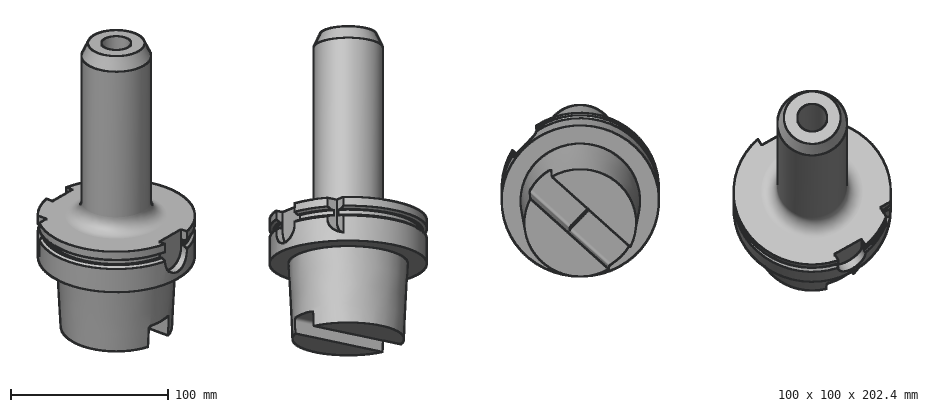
import cadquery as cq
import math

overall_length = 202.4

taper_length = 50.0
taper_top_radius = 38.0
taper_ratio = 9.98
taper_bottom_radius = taper_top_radius - taper_length / taper_ratio / 2

flange_radius = 50.0
flange_height = 29.0
flange_top = taper_length + flange_height
groove_floor_radius = 46.0
groove_rise = 19.9
groove_middle = taper_length + groove_rise
groove_mouth_width = 6.6
groove_floor_width = 3.6
groove_ledge = 1.6

shank_radius = 22.2
shank_root_fillet = 10.0
nose_radius = 18.0
nose_angle = 25.0
nose_height = (shank_radius - nose_radius) / math.tan(math.radians(nose_angle))
bore_radius = 9.5
bore_depth = 50.0

keyway_rise = 5.0
keyway_bottom = taper_length + keyway_rise
keyway_floor = 44.0
left_keyway_width = 20.0
right_keyway_width = 22.0

notch_floor = 31.5
notch_side = 31.5
notch_width = 20.0
notch_center_y = -(notch_side + notch_width / 2)

drive_width = 20.0
left_drive_depth = 10.0
right_drive_depth = 15.0
drive_corner_radius = 2.0


def turned_body():
    """Taper, grooved flange and shank as one revolved profile."""
    root_radius = shank_radius + shank_root_fillet
    root_top = flange_top + shank_root_fillet
    arc_offset = shank_root_fillet * math.sin(math.radians(45))
    root_middle = (root_radius - arc_offset, root_top - arc_offset)
    half_mouth = groove_mouth_width / 2
    half_floor = groove_floor_width / 2
    flank_radius = groove_floor_radius + groove_ledge
    profile = (
        cq.Workplane("XZ")
        .lineTo(taper_bottom_radius, 0)
        .lineTo(taper_top_radius, taper_length)
        .lineTo(flange_radius, taper_length)
        .lineTo(flange_radius, groove_middle - half_mouth)
        .lineTo(flank_radius, groove_middle - half_floor)
        .lineTo(groove_floor_radius, groove_middle - half_floor)
        .lineTo(groove_floor_radius, groove_middle + half_floor)
        .lineTo(flank_radius, groove_middle + half_floor)
        .lineTo(flange_radius, groove_middle + half_mouth)
        .lineTo(flange_radius, flange_top)
        .lineTo(root_radius, flange_top)
        .threePointArc(root_middle, (shank_radius, root_top))
        .lineTo(shank_radius, overall_length - nose_height)
        .lineTo(nose_radius, overall_length)
        .lineTo(0, overall_length)
        .close()
    )
    return profile.revolve(360, (0, 0, 0), (0, 1, 0))


def bore():
    """Blind bore from the nose."""
    return cq.Workplane("XY", origin=(0, 0, overall_length)).circle(bore_radius).extrude(-bore_depth)


def keyway(width, center_y, floor, direction):
    """Round-ended cutter running from its floor outward along +X or -X."""
    radius = width / 2
    arc_center = keyway_bottom + radius
    return (
        cq.Workplane("YZ", origin=(direction * floor, 0, 0))
        .moveTo(center_y - radius, flange_top)
        .lineTo(center_y - radius, arc_center)
        .threePointArc((center_y, keyway_bottom), (center_y + radius, arc_center))
        .lineTo(center_y + radius, flange_top)
        .close()
        .extrude(direction * flange_radius)
    )


def drive_slot(depth, direction):
    """Slot from the axis outward along +X or -X, rounded at its upper corners."""
    return (
        cq.Workplane("XY")
        .box(flange_radius, drive_width, depth, centered=(False, True, False))
        .edges("|X and >Z")
        .fillet(drive_corner_radius)
        .translate((0 if direction > 0 else -flange_radius, 0, 0))
    )


result = (
    turned_body()
    .cut(bore())
    .cut(keyway(left_keyway_width, 0, keyway_floor, -1))
    .cut(keyway(right_keyway_width, 0, keyway_floor, 1))
    .cut(keyway(notch_width, notch_center_y, notch_floor, -1))
    .cut(drive_slot(left_drive_depth, -1))
    .cut(drive_slot(right_drive_depth, 1))
)